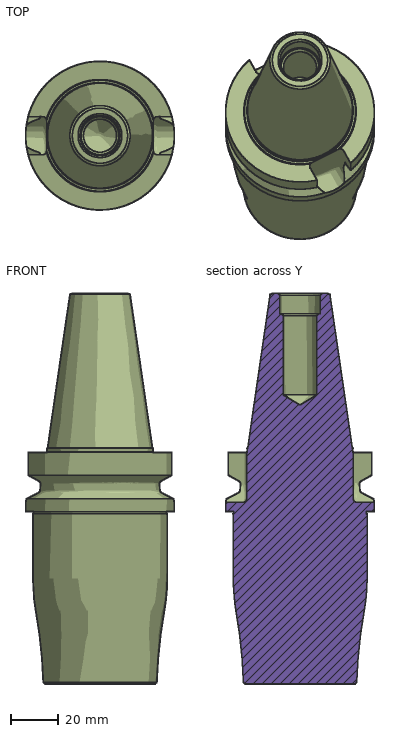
import cadquery as cq
import math


GAUGE_RADIUS = 44.45 / 2
TAPER_LENGTH = 65.4
TAPER_SLOPE = 7 / 48
TIP_CHAMFER_WIDTH = 1.0
TIP_CHAMFER_HEIGHT = 0.5
TIP_RADIUS = GAUGE_RADIUS - TAPER_LENGTH * TAPER_SLOPE

FLANGE_RADIUS = 63 / 2
FLANGE_TOP = -2.0
FLANGE_BOTTOM = -27.0
GROOVE_RADIUS = 53 / 2
GROOVE_TOP = -11.6
GROOVE_BOTTOM = -21.6
GROOVE_WALL_ANGLE = 30
GROOVE_FILLET = 1.2

COLLAR_RADIUS = 22.5
COLLAR_CHAMFER = COLLAR_RADIUS - GAUGE_RADIUS
PAD_RADIUS = 23.8
PAD_HEIGHT = 0.3
PAD_TOP = FLANGE_TOP + PAD_HEIGHT

NOSE_BOTTOM = -100.0
BODY_RADIUS = 57 / 2
NECK_RADIUS = BODY_RADIUS - 0.3
NECK_BOTTOM = FLANGE_BOTTOM - 1.0
CYLINDER_BOTTOM = -55.4
WAIST_RADIUS = 27.3
WAIST_Z = -68.8
NOSE_RADIUS = 24.1
NOSE_CHAMFER = 0.8

SLOT_WIDTH = 16.1
SLOT_FLOOR = 22.6
SLOT_CENTER_Z = -15.0
SLOT_FILLET = 1.6

MOUTH_RADIUS = 9.3
MOUTH_CHAMFER = 0.8
PILOT_RADIUS = MOUTH_RADIUS - MOUTH_CHAMFER
PILOT_DEPTH = 8.6
THREAD_RADIUS = 14 / 2
SEAT_RADIUS = THREAD_RADIUS + 1.0
SEAT_DEPTH = PILOT_DEPTH + 1.0
THREAD_DEPTH = 43.0
DRILL_POINT_ANGLE = 118


def turned_body():
    """Shank, flange blank and clamping body as one revolved profile."""
    chamfer_radius = TIP_RADIUS + TIP_CHAMFER_HEIGHT * TAPER_SLOPE
    profile = (
        cq.Workplane("XZ")
        .moveTo(0, TAPER_LENGTH)
        .lineTo(TIP_RADIUS - TIP_CHAMFER_WIDTH, TAPER_LENGTH)
        .lineTo(chamfer_radius, TAPER_LENGTH - TIP_CHAMFER_HEIGHT)
        .lineTo(GAUGE_RADIUS, 0)
        .lineTo(COLLAR_RADIUS, -COLLAR_CHAMFER)
        .lineTo(COLLAR_RADIUS, PAD_TOP)
        .lineTo(PAD_RADIUS - PAD_HEIGHT, PAD_TOP)
        .lineTo(PAD_RADIUS, FLANGE_TOP)
        .lineTo(FLANGE_RADIUS, FLANGE_TOP)
        .lineTo(FLANGE_RADIUS, FLANGE_BOTTOM)
        .lineTo(NECK_RADIUS, FLANGE_BOTTOM)
        .lineTo(NECK_RADIUS, NECK_BOTTOM)
        .lineTo(BODY_RADIUS, NECK_BOTTOM)
        .lineTo(BODY_RADIUS, CYLINDER_BOTTOM)
        .tangentArcPoint((WAIST_RADIUS, WAIST_Z), relative=False)
        .tangentArcPoint((NOSE_RADIUS, NOSE_BOTTOM + NOSE_CHAMFER), relative=False)
        .lineTo(NOSE_RADIUS - NOSE_CHAMFER, NOSE_BOTTOM)
        .lineTo(0, NOSE_BOTTOM)
        .close()
    )
    return profile.revolve(360, (0, 0, 0), (0, 1, 0))


def flange_groove():
    """Ring that cuts the V groove, rounded where its walls meet the bottom."""
    wall_rise = (FLANGE_RADIUS - GROOVE_RADIUS) * math.tan(math.radians(GROOVE_WALL_ANGLE))
    ring = (
        cq.Workplane("XZ")
        .moveTo(FLANGE_RADIUS, GROOVE_TOP)
        .lineTo(GROOVE_RADIUS, GROOVE_TOP - wall_rise)
        .lineTo(GROOVE_RADIUS, GROOVE_BOTTOM + wall_rise)
        .lineTo(FLANGE_RADIUS, GROOVE_BOTTOM)
        .close()
        .revolve(360, (0, 0, 0), (0, 1, 0))
    )
    smallest_circles = cq.selectors.RadiusNthSelector(0)
    return ring.edges("%CIRCLE").edges(smallest_circles).fillet(GROOVE_FILLET)


def drive_slot(side):
    """Round-ended slot, open at the top of the flange; side is -1 or +1 along X."""
    depth = FLANGE_RADIUS - SLOT_FLOOR
    height = PAD_TOP - SLOT_CENTER_Z
    half_width = SLOT_WIDTH / 2
    slot = (
        cq.Workplane("YZ", origin=(SLOT_FLOOR, 0, 0))
        .moveTo(-half_width, SLOT_CENTER_Z)
        .threePointArc((0, SLOT_CENTER_Z - half_width), (half_width, SLOT_CENTER_Z))
        .line(0, height)
        .line(-SLOT_WIDTH, 0)
        .close()
        .extrude(depth)
    )
    floor_rim = slot.faces("<X").edges("not >Z")
    slot = slot.newObject(floor_rim.vals()).fillet(SLOT_FILLET)
    return slot if side > 0 else slot.mirror("YZ")


def stud_bore():
    """Chamfered pilot bore, conical seat and thread core hole with a drill point."""
    point_length = THREAD_RADIUS / math.tan(math.radians(DRILL_POINT_ANGLE / 2))
    return (
        cq.Workplane("XZ")
        .moveTo(0, TAPER_LENGTH)
        .lineTo(MOUTH_RADIUS, TAPER_LENGTH)
        .lineTo(PILOT_RADIUS, TAPER_LENGTH - MOUTH_CHAMFER)
        .lineTo(PILOT_RADIUS, TAPER_LENGTH - PILOT_DEPTH)
        .lineTo(SEAT_RADIUS, TAPER_LENGTH - PILOT_DEPTH)
        .lineTo(THREAD_RADIUS, TAPER_LENGTH - SEAT_DEPTH)
        .lineTo(THREAD_RADIUS, TAPER_LENGTH - THREAD_DEPTH)
        .lineTo(0, TAPER_LENGTH - THREAD_DEPTH - point_length)
        .close()
        .revolve(360, (0, 0, 0), (0, 1, 0))
    )


result = turned_body().cut(flange_groove()).cut(stud_bore())
for slot_side in (-1, 1):
    result = result.cut(drive_slot(slot_side))